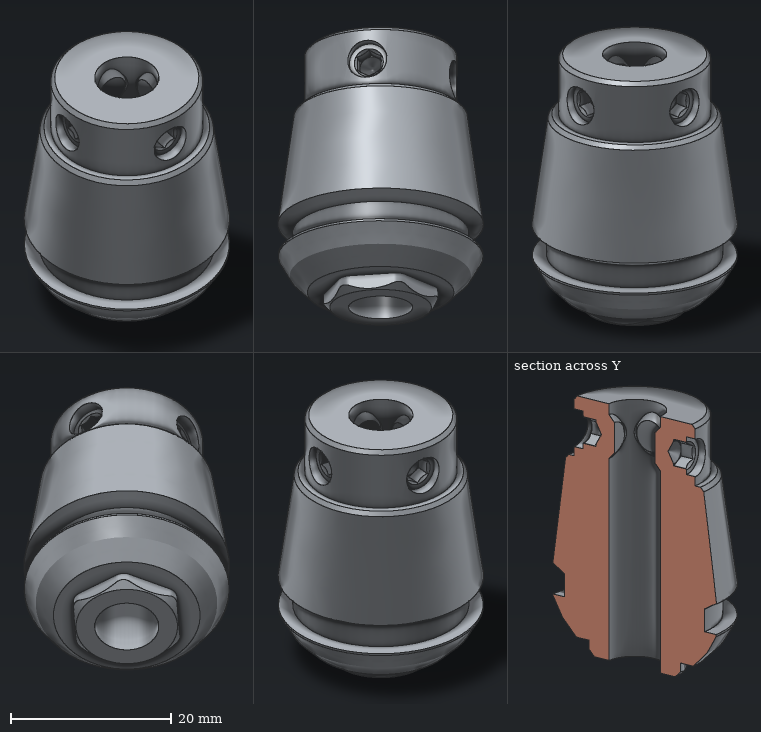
import cadquery as cq
import math

total_height = 34.0
nut_height = 2.0
flange_break_z = 4.18
flange_rim_z = 6.73
flange_top_z = 7.0
groove_top_z = 10.0
shoulder_z = 25.98

bore_radius = 8.0 / 2
neck_radius = 19.0 / 2
groove_radius = 22.0 / 2
flange_radius = 25.6 / 2
sleeve_bottom_radius = 25.7 / 2
sleeve_top_radius = 10.85
edge_chamfer = 0.5
undercut_slope = math.tan(math.radians(30))

nut_across_flats = 12.95
nut_blank_radius = 14.6 / 2
nut_corner_fillet = 1.63
nut_chamfer = 0.95

screw_count = 4
screw_z = 29.65
screw_hole_radius = 4.93 / 2
screw_radius = 6.0 / 2
screw_length = 5.0
screw_tip_distance = 3.13
screw_tip_chamfer = 0.95
socket_across_flats = 3.0
socket_mouth_radius = 1.85
socket_depth = 2.0
socket_drill_angle = 120


def hexagon(plane, across_flats, height):
    """Hexagonal prism with two corners on the local X axis."""
    corner_diameter = across_flats / math.cos(math.pi / 6)
    return plane.polygon(6, corner_diameter).extrude(height)


def inward_cone(base_x, base_radius, height):
    """Pointed cone on the screw axis, its base at base_x and its tip toward the bore."""
    base_center = cq.Vector(base_x, 0, screw_z)
    solid = cq.Solid.makeCone(base_radius, 0, height, base_center, cq.Vector(-1, 0, 0))
    return cq.Workplane(solid)


def make_body():
    """Collar, grooved flange and tapered sleeve as one revolved outline."""
    flange_break_radius = flange_radius - (flange_rim_z - flange_break_z) * undercut_slope
    flange_bottom_radius = flange_break_radius - (flange_break_z - nut_height)
    sleeve_bottom_z = groove_top_z + (sleeve_bottom_radius - groove_radius) * undercut_slope
    outline = [
        (0, nut_height),
        (flange_bottom_radius, nut_height),
        (flange_break_radius, flange_break_z),
        (flange_radius, flange_rim_z),
        (flange_radius, flange_top_z),
        (groove_radius, flange_top_z),
        (groove_radius, groove_top_z),
        (sleeve_bottom_radius, sleeve_bottom_z),
        (sleeve_top_radius, shoulder_z - edge_chamfer),
        (sleeve_top_radius - edge_chamfer, shoulder_z),
        (neck_radius, shoulder_z),
        (neck_radius, total_height - edge_chamfer),
        (neck_radius - edge_chamfer, total_height),
        (0, total_height),
    ]
    return cq.Workplane("XZ").polyline(outline).close().revolve(360, (0, 0), (0, 1))


def make_nut():
    """Hexagon with corners on X, rounded and chamfered by a turned blank."""
    blank = cq.Workplane("XY").circle(nut_blank_radius).extrude(nut_height)
    blank = blank.faces("<Z").chamfer(nut_chamfer)
    nut = hexagon(cq.Workplane("XY"), nut_across_flats, nut_height).edges("|Z").fillet(nut_corner_fillet)
    return nut.intersect(blank)


def make_screw():
    """Set screw along +X with a chamfered tip facing the bore and a hexagon socket."""
    head_x = screw_tip_distance + screw_length
    socket_floor_x = head_x - socket_depth
    socket_inner_radius = socket_across_flats / 2
    drill_height = socket_inner_radius / math.tan(math.radians(socket_drill_angle / 2))

    tip_plane = cq.Workplane("YZ", origin=(screw_tip_distance, 0, screw_z))
    screw = tip_plane.circle(screw_radius).extrude(screw_length)
    screw = screw.faces("<X").chamfer(screw_tip_chamfer)

    socket_plane = cq.Workplane("YZ", origin=(socket_floor_x, 0, screw_z)).transformed(rotate=(0, 0, 90))
    socket = hexagon(socket_plane, socket_across_flats, socket_depth)
    mouth = inward_cone(head_x, socket_mouth_radius, socket_mouth_radius)
    drill = inward_cone(socket_floor_x, socket_inner_radius, drill_height)
    return screw.cut(socket).cut(mouth).cut(drill)


def make_screw_hole():
    """Radial hole along +X from the axis out through the neck."""
    return cq.Workplane("YZ", origin=(0, 0, screw_z)).circle(screw_hole_radius).extrude(neck_radius)


def around_axis(shape, index):
    """Turn a shape to one of the evenly spaced screw positions."""
    return shape.rotate((0, 0, 0), (0, 0, 1), index * 360 / screw_count)


result = make_body().union(make_nut())
result = result.cut(cq.Workplane("XY").circle(bore_radius).extrude(total_height))
for index in range(screw_count):
    result = result.cut(around_axis(make_screw_hole(), index))
    result = result.union(around_axis(make_screw(), index))